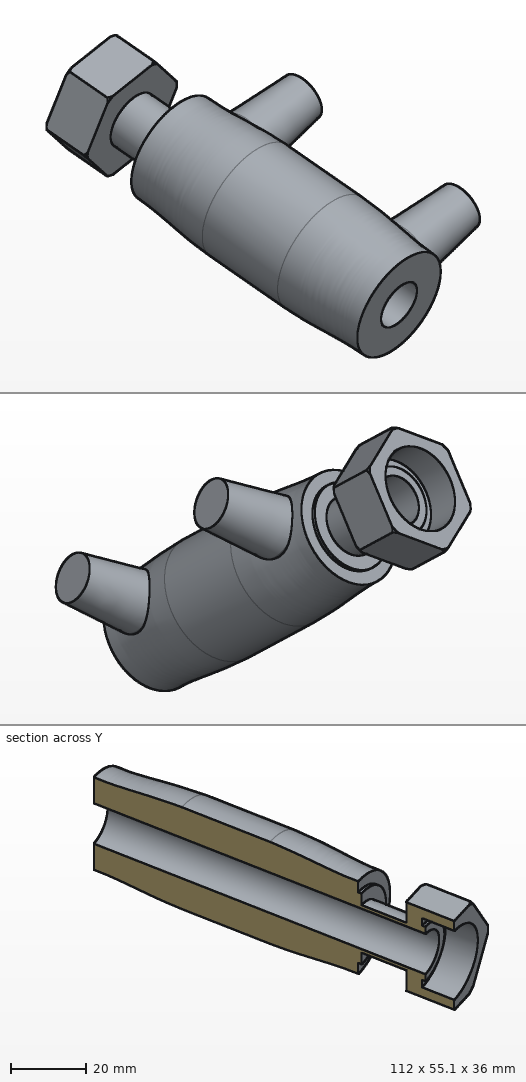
import cadquery as cq
import math

total_length = 112.0
tip_y = 37.1

nut_length = 15.0
nut_flats = 31.2
nut_chamfer = 0.7
nut_bore_diameter = 24.1
nut_bore_depth = 10.0

stem_diameter = 16.9
spigot_diameter = 19.3
spigot_start = 9.0
bore_diameter = 14.0

collar_diameter = 25.0
collar_start = 28.8
body_start = 29.8
body_diameter = 36.0
body_end_diameter = 32.6
body_section_length = (total_length - body_start) / 3

stud_positions = (42.3, 99.8)
stud_tip_diameter = 14.1
stud_base_diameter = 17.9
stud_base_y = 15.1


def cylinder_x(start, end, diameter):
    """Solid cylinder on the main axis between two X positions."""
    return cq.Workplane("YZ", origin=(start, 0, 0)).circle(diameter / 2).extrude(end - start)


def make_nut():
    """Hexagon with corners along Y, rounded off by a chamfered cylinder."""
    corner_diameter = nut_flats / math.cos(math.pi / 6)
    hexagon = cq.Workplane("YZ").polygon(6, corner_diameter).extrude(nut_length)
    envelope = cylinder_x(0, nut_length, corner_diameter).edges().chamfer(nut_chamfer)
    return hexagon.intersect(envelope)


def make_body():
    """Barrel: cylindrical middle, with S-shaped tapers level at both of their ends."""
    middle_start = body_start + body_section_length
    middle_end = middle_start + body_section_length
    radius = body_diameter / 2
    end_radius = body_end_diameter / 2
    level = (1, 0)
    profile = (
        cq.Workplane("XY")
        .moveTo(body_start, 0)
        .lineTo(body_start, end_radius)
        .spline([(middle_start, radius)], tangents=[level, level], includeCurrent=True)
        .lineTo(middle_end, radius)
        .spline([(total_length, end_radius)], tangents=[level, level], includeCurrent=True)
        .lineTo(total_length, 0)
        .close()
    )
    return profile.revolve(360, (0, 0, 0), (1, 0, 0))


def make_stud(x):
    """Tapered round stud from inside the body out to its flat tip."""
    tip_radius = stud_tip_diameter / 2
    base_radius = stud_base_diameter / 2
    profile = (
        cq.Workplane("XY")
        .moveTo(x, 0)
        .lineTo(x + base_radius, 0)
        .lineTo(x + base_radius, stud_base_y)
        .lineTo(x + tip_radius, tip_y)
        .lineTo(x, tip_y)
        .close()
    )
    return profile.revolve(360, (x, 0, 0), (x, 1, 0))


result = (
    make_nut()
    .cut(cylinder_x(0, nut_bore_depth, nut_bore_diameter))
    .union(cylinder_x(spigot_start, nut_length, spigot_diameter))
    .union(cylinder_x(nut_bore_depth, body_start, stem_diameter))
    .union(cylinder_x(collar_start, body_start, collar_diameter))
    .union(make_body())
)
for stud_x in stud_positions:
    result = result.union(make_stud(stud_x))

result = result.cut(cylinder_x(0, total_length, bore_diameter))